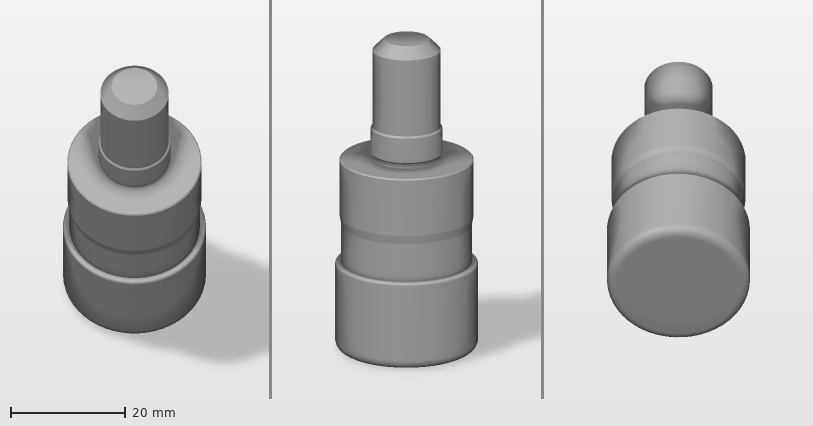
import cadquery as cq

TOTAL_HEIGHT = 57.0
CAP_HEIGHT = 16.0
NECK_TOP_Z = 22.95
TAPER_TOP_Z = 24.5
SHOULDER_Z = 35.0
COLLAR_BOTTOM_Z = 35.8
COLLAR_TOP_Z = 41.0

CAP_RADIUS = 12.51
CAP_BOTTOM_FILLET = 1.65
CAP_TOP_FILLET = 0.5

NECK_RADIUS = 11.45
BODY_RADIUS = 11.75
BODY_TOP_CHAMFER = 0.2
RELIEF_RADIUS = 5.75
RELIEF_FILLET = 0.45
COLLAR_RADIUS = 6.25
COLLAR_CHAMFER = 0.35
STUD_RADIUS = 6.0
STUD_TIP_CHAMFER = 2.0


def make_cap():
    """Solid disc with a generous bottom round and a small top round."""
    cap = cq.Workplane("XY").circle(CAP_RADIUS).extrude(CAP_HEIGHT)
    cap = cap.faces("<Z").edges().fillet(CAP_BOTTOM_FILLET)
    return cap.faces(">Z").edges().fillet(CAP_TOP_FILLET)


def make_plunger():
    """Turned body standing on the cap: half profile in (radius, Z), revolved about Z."""
    profile = (
        cq.Workplane("XZ")
        .moveTo(0, CAP_HEIGHT)
        .lineTo(NECK_RADIUS, CAP_HEIGHT)
        .lineTo(NECK_RADIUS, NECK_TOP_Z)
        .lineTo(BODY_RADIUS, TAPER_TOP_Z)
        .lineTo(BODY_RADIUS, SHOULDER_Z - BODY_TOP_CHAMFER)
        .lineTo(BODY_RADIUS - BODY_TOP_CHAMFER, SHOULDER_Z)
        .lineTo(RELIEF_RADIUS + RELIEF_FILLET, SHOULDER_Z)
        .radiusArc((RELIEF_RADIUS, SHOULDER_Z + RELIEF_FILLET), RELIEF_FILLET)
        .lineTo(RELIEF_RADIUS, COLLAR_BOTTOM_Z)
        .lineTo(COLLAR_RADIUS - COLLAR_CHAMFER, COLLAR_BOTTOM_Z)
        .lineTo(COLLAR_RADIUS, COLLAR_BOTTOM_Z + COLLAR_CHAMFER)
        .lineTo(COLLAR_RADIUS, COLLAR_TOP_Z - COLLAR_CHAMFER)
        .lineTo(STUD_RADIUS, COLLAR_TOP_Z)
        .lineTo(STUD_RADIUS, TOTAL_HEIGHT - STUD_TIP_CHAMFER)
        .lineTo(STUD_RADIUS - STUD_TIP_CHAMFER, TOTAL_HEIGHT)
        .lineTo(0, TOTAL_HEIGHT)
        .close()
    )
    return profile.revolve(360, (0, 0, 0), (0, 1, 0))


cap = make_cap()
plunger = make_plunger()
result = cq.Compound.makeCompound([cap.val(), plunger.val()])